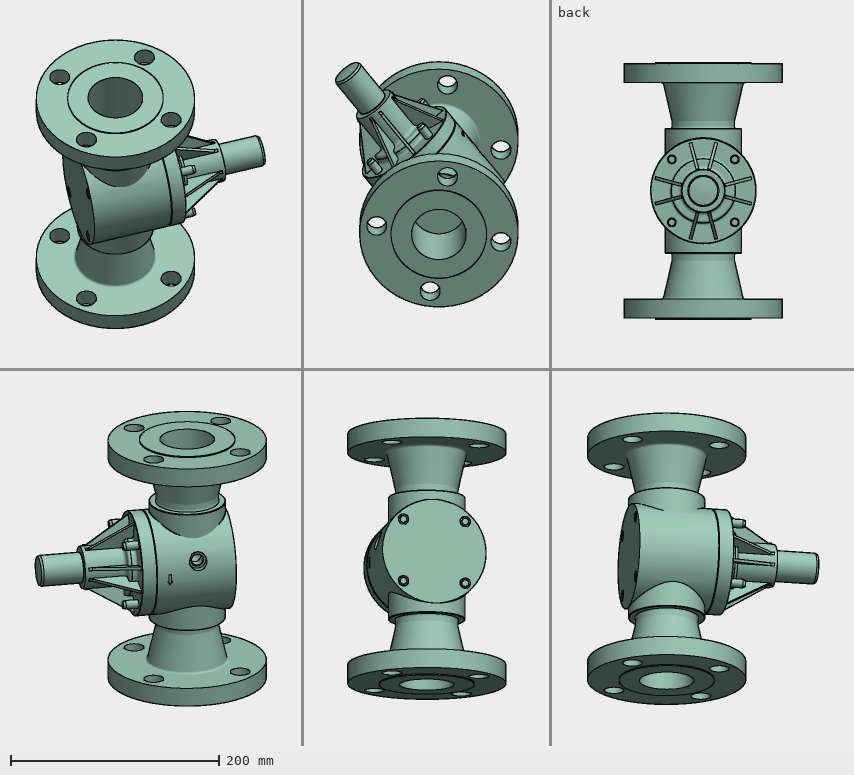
import cadquery as cq
import math


overall_height = 247.01
flange_diameter = 152.4
flange_thickness = 18.4
raised_face_diameter = 91.95
raised_face_height = 1.1
bore_diameter = 52.5
flange_hole_diameter = 19.05
flange_hole_circle = 120.65
flange_hole_count = 4
diagonal_angle = 45.0
neck_large_diameter = 77.2
neck_fillet = 2.5
pipe_diameter = 60.33
pipe_end = 67.2
weld_bead_height = 1.6
weld_bead_width = 0.5

branch_diameter = 73.66
branch_end = 60.0
branch_chamfer = 0.6
body_diameter = 101.6
body_overhang = 0.3
body_front = -(branch_diameter / 2 + body_overhang)
body_back = 40.5
branch_fillet = 0.4
joint_gap = 0.8
joint_depth = 0.6

front_hole_diameter = 10.16
front_hole_depth = 8.0
front_pin_diameter = 6.53

port_height = 15.5
port_recess_diameter = 17.0
port_floor = 44.0
port_hole_diameter = 11.12
port_hole_depth = 10.0
port_hole_chamfer = 0.6
drill_point_angle = 118.0

arrow_depth = 0.4
arrow_y = 28.2
arrow_top = 5.0
arrow_shoulder = -2.2
arrow_tip = -5.2
arrow_shaft_width = 2.4
arrow_head_width = 4.4

bonnet_back = 55.4
bonnet_chamfer = 0.5
seat_diameter = 62.0
seat_upper_diameter = 61.4
seat_joint = 61.1
seat_back = 64.1
seat_edge_fillet = 2.0
seat_fillet = 2.2
hub_diameter = 41.66
hub_back = 104.8
hub_chamfer = 1.6
hub_chamfer_width = 0.5
hub_fillet = 3.3

rib_thickness = 2.8
rib_angle = 15.0
quarter_turn = 90.0
rib_back = 101.5
rib_slope_start = 98.2
rib_tip_radius = 21.7
rib_foot_radius = 47.8

stud_diameter = 8.38
stud_circle = 85.6
stud_count = 4
stud_back = 70.4
stud_chamfer_length = 2.6
stud_tip_diameter = 6.5

cap_diameter = 29.97
cap_edge = 144.4
cap_rim = 146.7
cap_rim_diameter = 27.7
cap_end = 147.78
cap_groove_diameter = 28.6
cap_groove_start = 105.4

raised_face_end = overall_height / 2
flange_face = raised_face_end - raised_face_height
flange_back = flange_face - flange_thickness


def disc_y(diameter, start, end):
    """Cylinder on the Y axis between two Y positions."""
    return cq.Workplane("XZ", origin=(0, start, 0)).circle(diameter / 2).extrude(start - end)


def polar_points(count, circle_diameter, first_angle):
    """Points evenly spaced on a circle, as (a, b) pairs."""
    step = 360 / count
    angles = [math.radians(first_angle + index * step) for index in range(count)]
    return [(circle_diameter / 2 * math.cos(a), circle_diameter / 2 * math.sin(a)) for a in angles]


def stud_positions():
    """Centres shared by the studs and the front holes, as (x, z) pairs."""
    return polar_points(stud_count, stud_circle, diagonal_angle)


def weld_neck_flange():
    """Upper flange with its weld neck, standing on the upper branch."""
    neck = (
        cq.Workplane("XZ")
        .moveTo(0, branch_end)
        .lineTo(pipe_diameter / 2 + weld_bead_width, branch_end)
        .lineTo(pipe_diameter / 2, branch_end + weld_bead_height)
        .lineTo(pipe_diameter / 2, pipe_end)
        .lineTo(neck_large_diameter / 2, flange_back)
        .lineTo(flange_diameter / 2, flange_back)
        .lineTo(flange_diameter / 2, flange_face)
        .lineTo(raised_face_diameter / 2, flange_face)
        .lineTo(raised_face_diameter / 2, raised_face_end)
        .lineTo(0, raised_face_end)
        .close()
        .revolve(360, (0, 0, 0), (0, 1, 0))
    )
    flange_back_edges = neck.faces(cq.NearestToPointSelector((0, 0, flange_back))).edges("%CIRCLE")
    neck = flange_back_edges.edges(cq.selectors.RadiusNthSelector(0)).fillet(neck_fillet)
    bolt_holes = (
        cq.Workplane("XY", origin=(0, 0, flange_back))
        .pushPoints(polar_points(flange_hole_count, flange_hole_circle, diagonal_angle))
        .circle(flange_hole_diameter / 2)
        .extrude(flange_thickness)
    )
    bore = (
        cq.Workplane("XY", origin=(0, 0, branch_end))
        .circle(bore_diameter / 2)
        .extrude(raised_face_end - branch_end)
    )
    return neck.cut(bolt_holes).cut(bore)


def valve_body():
    """Body barrel crossed by the pipe branches, rounded where the upper branch meets it."""
    body = disc_y(body_diameter, body_front, body_back)
    branches = (
        cq.Workplane("XY", origin=(0, 0, -branch_end))
        .circle(branch_diameter / 2)
        .extrude(2 * branch_end)
        .faces("|Z")
        .chamfer(branch_chamfer)
    )
    upper_seam = body.union(branches).edges("%BSPLINE").edges(">Z")
    return upper_seam.fillet(branch_fillet)


def front_holes():
    """Ring-shaped pockets left around the pins in the front face."""
    return (
        cq.Workplane("XZ", origin=(0, body_front, 0))
        .pushPoints(stud_positions())
        .circle(front_hole_diameter / 2)
        .circle(front_pin_diameter / 2)
        .extrude(-front_hole_depth)
    )


def side_port():
    """Counterbored blind hole with a drill point, entering from -X."""
    hole_radius = port_hole_diameter / 2
    point_length = hole_radius / math.tan(math.radians(drill_point_angle / 2))
    hole_end = port_floor - port_hole_depth
    return (
        cq.Workplane("XY", origin=(0, 0, port_height))
        .moveTo(-body_diameter / 2, 0)
        .lineTo(-body_diameter / 2, port_recess_diameter / 2)
        .lineTo(-port_floor, port_recess_diameter / 2)
        .lineTo(-port_floor, hole_radius + port_hole_chamfer)
        .lineTo(port_hole_chamfer - port_floor, hole_radius)
        .lineTo(-hole_end, hole_radius)
        .lineTo(point_length - hole_end, 0)
        .close()
        .revolve(360, (0, 0, 0), (1, 0, 0))
    )


def flow_arrow():
    """Thin curved layer under the -X side of the body, cut to the arrow outline."""
    outline = [
        (arrow_y - arrow_shaft_width / 2, arrow_top),
        (arrow_y + arrow_shaft_width / 2, arrow_top),
        (arrow_y + arrow_shaft_width / 2, arrow_shoulder),
        (arrow_y + arrow_head_width / 2, arrow_shoulder),
        (arrow_y, arrow_tip),
        (arrow_y - arrow_head_width / 2, arrow_shoulder),
        (arrow_y - arrow_shaft_width / 2, arrow_shoulder),
    ]
    prism = cq.Workplane("YZ").polyline(outline).close().extrude(-body_diameter)
    return prism.cut(disc_y(body_diameter - 2 * arrow_depth, body_front, body_back))


def dome_radius():
    """Radius of the shallow dome that closes the stem cap."""
    rise = cap_end - cap_rim
    half_chord = cap_rim_diameter / 2
    return (half_chord**2 + rise**2) / (2 * rise)


def bonnet():
    """Cover, seat, hub and stem cap as one turned shape about the Y axis."""
    joint_radius = body_diameter / 2 - joint_depth
    seat_radius = seat_diameter / 2
    upper_radius = seat_upper_diameter / 2
    hub_radius = hub_diameter / 2
    cap_radius = cap_diameter / 2
    return (
        cq.Workplane("XY")
        .moveTo(0, body_back)
        .lineTo(joint_radius, body_back)
        .lineTo(joint_radius, body_back + joint_gap)
        .lineTo(body_diameter / 2, body_back + joint_gap)
        .lineTo(body_diameter / 2, bonnet_back - bonnet_chamfer)
        .lineTo(body_diameter / 2 - bonnet_chamfer, bonnet_back)
        .lineTo(seat_radius + seat_fillet, bonnet_back)
        .radiusArc((seat_radius, bonnet_back + seat_fillet), seat_fillet)
        .lineTo(seat_radius, seat_joint)
        .lineTo(upper_radius, seat_joint)
        .lineTo(upper_radius, seat_back - seat_edge_fillet)
        .radiusArc((upper_radius - seat_edge_fillet, seat_back), -seat_edge_fillet)
        .lineTo(hub_radius + hub_fillet, seat_back)
        .radiusArc((hub_radius, seat_back + hub_fillet), hub_fillet)
        .lineTo(hub_radius, hub_back - hub_chamfer)
        .lineTo(hub_radius - hub_chamfer_width, hub_back)
        .lineTo(cap_groove_diameter / 2, hub_back)
        .lineTo(cap_groove_diameter / 2, cap_groove_start)
        .lineTo(cap_radius, cap_groove_start)
        .lineTo(cap_radius, cap_edge)
        .lineTo(cap_rim_diameter / 2, cap_rim)
        .radiusArc((0, cap_end), -dome_radius())
        .close()
        .revolve(360, (0, 0, 0), (0, 1, 0))
    )


def ribs():
    """Tapered webs between the hub and the cover, one pair around each quarter."""
    blank = (
        cq.Workplane("XY")
        .polyline(
            [
                (0, bonnet_back),
                (rib_foot_radius, bonnet_back),
                (rib_tip_radius, rib_slope_start),
                (rib_tip_radius, rib_back),
                (0, rib_back),
            ]
        )
        .close()
        .extrude(rib_thickness / 2, both=True)
    )
    all_ribs = cq.Workplane()
    for quarter in range(4):
        for side in (-1, 1):
            angle = quarter * quarter_turn + side * rib_angle
            all_ribs = all_ribs.union(blank.rotate((0, 0, 0), (0, 1, 0), angle))
    return all_ribs


def studs():
    """Chamfered stud ends standing on the cover."""
    stud = (
        cq.Workplane("XY")
        .polyline(
            [
                (0, bonnet_back),
                (stud_diameter / 2, bonnet_back),
                (stud_diameter / 2, stud_back - stud_chamfer_length),
                (stud_tip_diameter / 2, stud_back),
                (0, stud_back),
            ]
        )
        .close()
        .revolve(360, (0, 0, 0), (0, 1, 0))
    )
    all_studs = cq.Workplane()
    for x, z in stud_positions():
        all_studs = all_studs.union(stud.translate((x, 0, z)))
    return all_studs


upper_flange = weld_neck_flange()
lower_flange = upper_flange.mirror("XY")
result = valve_body().cut(front_holes()).cut(side_port()).cut(flow_arrow())
result = result.union(upper_flange).union(lower_flange)
result = result.union(bonnet()).union(ribs()).union(studs())